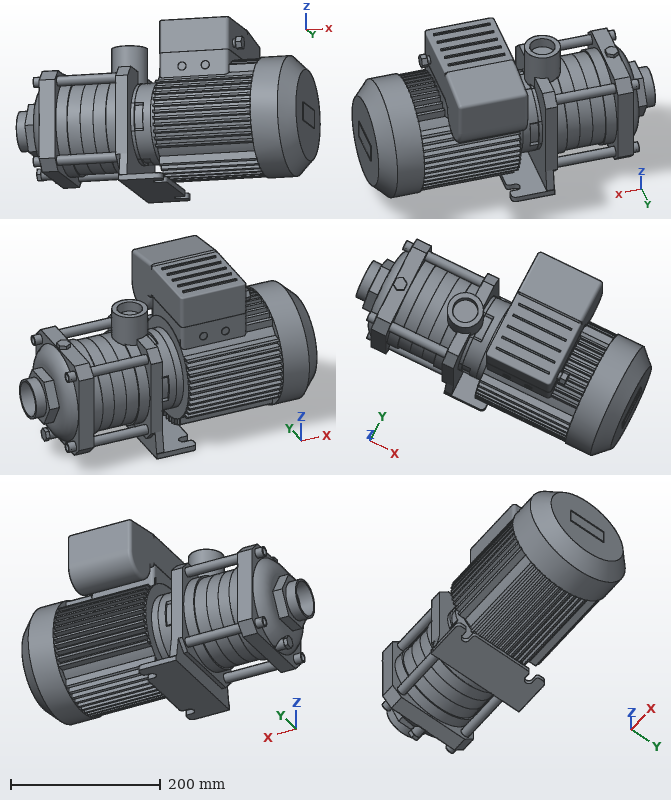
import cadquery as cq
import math


NUT_START = 14.7
COVER_FACE = 29.0
FRONT_PLATE_START = 43.5
FRONT_PLATE_END = 65.5
FIRST_SEAM = 80.5
STAGE_LENGTH = 18.0
STAGE_COUNT = 3
LAST_SEAM = FIRST_SEAM + STAGE_COUNT * STAGE_LENGTH
REAR_PLATE_START = 149.5
REAR_PLATE_END = 166.0
WINDOW_START = 171.0
WINDOW_END = 183.0
MOTOR_FLANGE_START = 193.5
MOTOR_START = 203.5
FAN_COVER_START = 339.0
FAN_COVER_CONE = 377.0
FAN_COVER_END = 397.2
TOTAL_LENGTH = 398.5

TOTAL_WIDTH = 194.5

PORT_DIAMETER = 54.0
PORT_BORE = 48.2
PORT_DEPTH = 20.0
NUT_FLATS = 65.0
COVER_FACE_RADIUS = 85.0 / 2
COVER_RADIUS = 67.0
COVER_BULGE = 28.0
END_RING_DIAMETER = 130.0
STAGE_DIAMETER = 125.0
SEAM_STEP = 0.08
PLATE_SIZE = 138.0
PLATE_CHAMFER = 15.0
NECK_DIAMETER = 110.0
COLLAR_RELIEF = 0.5
WINDOW_WIDTH = 38.2
WINDOW_FLOOR_WIDTH = 32.0
WINDOW_FLOOR_RADIUS = 51.8

NOZZLE_X = 149.8
NOZZLE_DIAMETER = 48.2
NOZZLE_BORE = 34.0
NOZZLE_TOP = 104.0
NOZZLE_DEPTH = 14.0

FOOT_BOTTOM = -91.0
FOOT_THICKNESS = 7.5
FOOT_HALF_WIDTH = 150.0 / 2
FOOT_SHOULDER = -53.8
LEG_THICKNESS = 10.8
FOOT_END = 214.5
FOOT_CORNER_RADIUS = 6.0
SLOT_WIDTH = 12.0
SLOT_Y = 53.8
SLOT_CENTRE_X = 203.5
SLOT_MOUTH_RADIUS = 4.0

ROD_DIAMETER = 13.5
ROD_OFFSET = 54.0
ROD_START = 32.5
ROD_POSITIONS = [(y, z) for y in (-ROD_OFFSET, ROD_OFFSET) for z in (-ROD_OFFSET, ROD_OFFSET)]
SOCKET_DIAMETER = 10.0
SOCKET_DEPTH = 4.0

VENT_X = 52.5
VENT_FLATS = 16.5
VENT_HEIGHT = 5.0

DRAIN_Z = -60.5
DRAIN_DIAMETER = 15.0
DRAIN_START = 23.0
DRAIN_HEAD_END = 28.5
DRAIN_CORNERS = 18.0
DRAIN_TURN = 8

CORE_RADIUS = 71.0
FIN_RADIUS = 79.3
FIN_PITCH = 8.8
FIN_THICKNESS = 2.8
FINS_EACH_WAY = 5
FAN_COVER_DIAMETER = 162.0
FAN_COVER_END_RADIUS = 61.5
END_PAD_WIDTH = 56.0
END_PAD_HEIGHT = 24.7

BOX_START = MOTOR_START
BOX_END = 300.5
BOX_LENGTH = BOX_END - BOX_START
BOX_SPLIT = 86.0
BASE_INSET = 0.5
BASE_FRONT = -48.5
LID_FRONT = -48.2
BOX_BACK = 47.5
LID_TOP = 131.0
BOX_CORNER_RADIUS = 4.8
LID_EDGE_RADIUS = 2.0
RIB_COUNT = 5
RIB_PITCH = 16.7
RIB_WIDTH = 2.5
RIB_HEIGHT = 2.0
RIB_START = 212.7
RIB_END = 291.5
ENTRY_DIAMETER = 11.0
ENTRY_HEIGHT = 0.8
ENTRY_Z = 66.0
ENTRY_XS = (236.0, 268.0)

CAPACITOR_BACK = TOTAL_WIDTH - FAN_COVER_DIAMETER / 2
CAPACITOR_RADIUS = 29.0
CAPACITOR_Y = CAPACITOR_BACK - CAPACITOR_RADIUS
CAPACITOR_Z = 76.0
CAPACITOR_PEAK = LID_TOP + RIB_HEIGHT
CAPACITOR_SLOPE = 9.2
CAPACITOR_START = 46.2
CAPACITOR_PEAK_Y = 48.5
WEB_LOW_Z = 77.5
WEB_HIGH_Z = 82.0

SCREW_Y = -23.0
SCREW_Z = 99.2
SCREW_DIAMETER = 11.0
SCREW_HEAD_FLATS = 15.5
SCREW_HEAD_START = 304.8
SCREW_HEAD_END = 313.0


def corners_from_flats(flats):
    """Corner-to-corner size of a hexagon given its size across flats."""
    return flats / math.cos(math.pi / 6)


def across_shaft(x, y=0.0, z=0.0):
    """Workplane facing +X at a station; its local axes are Y and Z."""
    return cq.Workplane("YZ", origin=(x, y, z))


def block(x_range, y_range, z_range):
    """Box given by its limits along each axis."""
    limits = (x_range, y_range, z_range)
    sizes = [high - low for low, high in limits]
    corner = tuple(low for low, high in limits)
    return cq.Workplane("XY").box(*sizes, centered=False).translate(corner)


def bar(start, end, diameter, y=0.0, z=0.0):
    """Round bar parallel to the shaft axis."""
    return across_shaft(start, y, z).circle(diameter / 2).extrude(end - start)




def make_tie_rod(y, z):
    """Tie rod from ahead of the front plate to the rear plate, with a socket in its end."""
    rod = bar(ROD_START, REAR_PLATE_START, ROD_DIAMETER, y, z)
    return rod.cut(bar(ROD_START, ROD_START + SOCKET_DEPTH, SOCKET_DIAMETER, y, z))


def make_vent_plug():
    """Hexagon plug standing on the front plate, with corners toward +Y and -Y."""
    seat = cq.Workplane("XY", origin=(VENT_X, 0, PLATE_SIZE / 2))
    hexagon = seat.transformed(rotate=(0, 0, 90)).polygon(6, corners_from_flats(VENT_FLATS))
    return hexagon.extrude(VENT_HEIGHT)


def make_drain_plug():
    """Hexagon-headed plug whose shank runs through the cover to the front plate."""
    head = across_shaft(DRAIN_START, 0, DRAIN_Z).transformed(rotate=(0, 0, DRAIN_TURN))
    head = head.polygon(6, DRAIN_CORNERS).extrude(DRAIN_HEAD_END - DRAIN_START)
    return head.union(bar(DRAIN_HEAD_END, FRONT_PLATE_START, DRAIN_DIAMETER, 0, DRAIN_Z))




def make_cover():
    """Domed front cover, revolved about the shaft axis."""
    sweep = math.asin((COVER_RADIUS - COVER_FACE_RADIUS) / COVER_BULGE) / 2
    arc_middle = (
        COVER_FACE + COVER_BULGE * (1 - math.cos(sweep)),
        COVER_FACE_RADIUS + COVER_BULGE * math.sin(sweep),
    )
    outline = cq.Workplane("XY").moveTo(COVER_FACE, 0).lineTo(COVER_FACE, COVER_FACE_RADIUS)
    outline = outline.threePointArc(arc_middle, (FRONT_PLATE_START, COVER_RADIUS))
    outline = outline.lineTo(FRONT_PLATE_START, 0).close()
    return outline.revolve(360, (0, 0, 0), (1, 0, 0))


def make_suction_port():
    """Bored suction stub and the hexagon behind it."""
    nut = across_shaft(NUT_START).polygon(6, corners_from_flats(NUT_FLATS))
    nut = nut.extrude(COVER_FACE - NUT_START)
    stub = bar(0, NUT_START, PORT_DIAMETER)
    return nut.union(stub).cut(bar(0, PORT_DEPTH, PORT_BORE))


def make_stages():
    """Stage shells between two end rings; every second shell is very slightly smaller."""
    stages = bar(FRONT_PLATE_END, FIRST_SEAM, END_RING_DIAMETER)
    for index in range(STAGE_COUNT):
        start = FIRST_SEAM + index * STAGE_LENGTH
        diameter = STAGE_DIAMETER - SEAM_STEP * (index % 2)
        stages = stages.union(bar(start, start + STAGE_LENGTH, diameter))
    return stages.union(bar(LAST_SEAM, REAR_PLATE_START, END_RING_DIAMETER))


def make_plate(start, end):
    """Square clamping plate with cut corners."""
    plate = across_shaft(start).rect(PLATE_SIZE, PLATE_SIZE).extrude(end - start)
    return plate.edges("|X").chamfer(PLATE_CHAMFER)


def make_neck():
    """Neck behind the rear plate: four tabs on a collar, each followed by a tapered window."""
    collar_radius = NECK_DIAMETER / 2 - COLLAR_RELIEF
    collar = bar(REAR_PLATE_END, WINDOW_START, 2 * collar_radius)
    neck = bar(WINDOW_START, MOTOR_FLANGE_START, NECK_DIAMETER)
    tab_stock = bar(REAR_PLATE_END, WINDOW_START, NECK_DIAMETER)
    floor = bar(WINDOW_START, WINDOW_END, 2 * WINDOW_FLOOR_RADIUS)
    mouth_radius = NECK_DIAMETER / 2
    floor_edge_z = math.sqrt(WINDOW_FLOOR_RADIUS ** 2 - (WINDOW_FLOOR_WIDTH / 2) ** 2)
    mouth_edge_z = math.sqrt(mouth_radius ** 2 - (WINDOW_WIDTH / 2) ** 2)
    for quarter in range(4):
        angle = 90 * quarter
        tab = block(
            (REAR_PLATE_END, WINDOW_START), (-WINDOW_WIDTH / 2, WINDOW_WIDTH / 2), (0, mouth_radius)
        )
        collar = collar.union(tab_stock.intersect(tab.rotate((0, 0, 0), (1, 0, 0), angle)))
        window = across_shaft(WINDOW_START).polyline([
            (-WINDOW_FLOOR_WIDTH / 2, floor_edge_z),
            (WINDOW_FLOOR_WIDTH / 2, floor_edge_z),
            (WINDOW_WIDTH / 2, mouth_edge_z),
            (WINDOW_WIDTH / 2, mouth_radius),
            (-WINDOW_WIDTH / 2, mouth_radius),
            (-WINDOW_WIDTH / 2, mouth_edge_z),
        ]).close().extrude(WINDOW_END - WINDOW_START)
        window = window.cut(floor).rotate((0, 0, 0), (1, 0, 0), angle)
        neck = neck.cut(window)
    return neck.union(collar)


def make_foot():
    """Flared leg below the rear plate, on a foot with a slot open to the rear on each side."""
    half_plate = PLATE_SIZE / 2
    leg_outline = [
        (-half_plate, FOOT_SHOULDER),
        (half_plate, FOOT_SHOULDER),
        (FOOT_HALF_WIDTH, FOOT_BOTTOM),
        (-FOOT_HALF_WIDTH, FOOT_BOTTOM),
    ]
    leg_start = REAR_PLATE_END - LEG_THICKNESS
    leg = across_shaft(leg_start).polyline(leg_outline).close().extrude(LEG_THICKNESS)
    foot = block(
        (leg_start, FOOT_END),
        (-FOOT_HALF_WIDTH, FOOT_HALF_WIDTH),
        (FOOT_BOTTOM, FOOT_BOTTOM + FOOT_THICKNESS),
    )
    foot = foot.edges("|Z and >X").fillet(FOOT_CORNER_RADIUS)
    for y in (-SLOT_Y, SLOT_Y):
        round_end = cq.Workplane("XY", origin=(SLOT_CENTRE_X, y, FOOT_BOTTOM))
        foot = foot.cut(round_end.circle(SLOT_WIDTH / 2).extrude(FOOT_THICKNESS))
        foot = foot.cut(block(
            (SLOT_CENTRE_X, FOOT_END),
            (y - SLOT_WIDTH / 2, y + SLOT_WIDTH / 2),
            (FOOT_BOTTOM, FOOT_BOTTOM + FOOT_THICKNESS),
        ))
    foot = foot.faces(">X").edges("|Z").fillet(SLOT_MOUTH_RADIUS)
    return leg.union(foot)


def make_nozzle():
    """Upright discharge nozzle, solid down to the shaft axis."""
    nozzle = cq.Workplane("XY", origin=(NOZZLE_X, 0, 0)).circle(NOZZLE_DIAMETER / 2)
    return nozzle.extrude(NOZZLE_TOP)


def make_pump_body(drain_plug):
    """Whole pump casing, with holes for the tie rods and the drain plug."""
    body = make_cover().union(make_suction_port())
    body = body.union(make_plate(FRONT_PLATE_START, FRONT_PLATE_END))
    body = body.union(make_stages())
    body = body.union(make_plate(REAR_PLATE_START, REAR_PLATE_END))
    body = body.union(make_neck()).union(make_foot()).union(make_nozzle())
    bore = cq.Workplane("XY", origin=(NOZZLE_X, 0, NOZZLE_TOP)).circle(NOZZLE_BORE / 2)
    body = body.cut(bore.extrude(-NOZZLE_DEPTH))
    for y, z in ROD_POSITIONS:
        body = body.cut(bar(FRONT_PLATE_START, FRONT_PLATE_END, ROD_DIAMETER, y, z))
    return body.cut(drain_plug)




def box_base_block(inset):
    """Block with rounded upright corners, up to the lid and inset from the ends of the lid."""
    length = (BOX_START + inset, BOX_END - inset)
    base = block(length, (BASE_FRONT, BOX_BACK), (0, BOX_SPLIT))
    return base.edges("|Z").fillet(BOX_CORNER_RADIUS)


def make_fins():
    """Parallel fins on all four sides, trimmed to a common radius."""
    half = FIN_THICKNESS / 2
    length = (MOTOR_START, FAN_COVER_START)
    reach = (-FIN_RADIUS, FIN_RADIUS)
    fins = bar(MOTOR_START, FAN_COVER_START, 2 * CORE_RADIUS)
    for index in range(-FINS_EACH_WAY, FINS_EACH_WAY + 1):
        middle = index * FIN_PITCH
        thickness = (middle - half, middle + half)
        fins = fins.union(block(length, reach, thickness))
        fins = fins.union(block(length, thickness, reach))
    return fins.intersect(bar(MOTOR_START, FAN_COVER_START, 2 * FIN_RADIUS))


def make_fan_cover():
    """Cylindrical rear cover with a conical end and a flat pad."""
    outline = cq.Workplane("XY").polyline([
        (FAN_COVER_START, 0),
        (FAN_COVER_START, FAN_COVER_DIAMETER / 2),
        (FAN_COVER_CONE, FAN_COVER_DIAMETER / 2),
        (FAN_COVER_END, FAN_COVER_END_RADIUS),
        (FAN_COVER_END, 0),
    ]).close()
    cover = outline.revolve(360, (0, 0, 0), (1, 0, 0))
    pad = across_shaft(FAN_COVER_END).rect(END_PAD_WIDTH, END_PAD_HEIGHT)
    return cover.union(pad.extrude(TOTAL_LENGTH - FAN_COVER_END))


def make_motor():
    """Flange, finned housing cleared under the terminal box, and fan cover."""
    seat = box_base_block(0)
    seat = seat.cut(bar(MOTOR_START, FAN_COVER_START, 2 * CORE_RADIUS))
    motor = make_fins().cut(seat)
    motor = motor.union(bar(MOTOR_FLANGE_START, MOTOR_START, NECK_DIAMETER))
    return motor.union(make_fan_cover())




def make_box_base():
    """Lower part of the box, saddled on the motor core, with two round cable entry covers."""
    base = box_base_block(BASE_INSET)
    base = base.cut(bar(MOTOR_START, FAN_COVER_START, 2 * CORE_RADIUS))
    for x in ENTRY_XS:
        entry = cq.Workplane("XZ", origin=(x, BASE_FRONT, ENTRY_Z)).circle(ENTRY_DIAMETER / 2)
        base = base.union(entry.extrude(ENTRY_HEIGHT))
    return base


def make_lid():
    """Upper part of the box, with raised ribs on its top."""
    lid = block((BOX_START, BOX_END), (LID_FRONT, BOX_BACK), (BOX_SPLIT, LID_TOP))
    lid = lid.edges("|Z and <Y").fillet(BOX_CORNER_RADIUS)
    lid = lid.faces(">Z").edges("not >Y").fillet(LID_EDGE_RADIUS)
    for index in range(RIB_COUNT):
        middle = (index - (RIB_COUNT - 1) / 2) * RIB_PITCH
        lid = lid.union(block(
            (RIB_START, RIB_END),
            (middle - RIB_WIDTH / 2, middle + RIB_WIDTH / 2),
            (LID_TOP, LID_TOP + RIB_HEIGHT),
        ))
    return lid


def make_capacitor_housing():
    """Round-bottomed housing with a sloping top and rounded ends."""
    drop = (CAPACITOR_BACK - CAPACITOR_PEAK_Y) * math.tan(math.radians(CAPACITOR_SLOPE))
    inner_side = CAPACITOR_Y - CAPACITOR_RADIUS
    outline = across_shaft(BOX_START).moveTo(CAPACITOR_START, LID_TOP)
    outline = outline.lineTo(CAPACITOR_PEAK_Y, CAPACITOR_PEAK)
    outline = outline.lineTo(CAPACITOR_BACK, CAPACITOR_PEAK - drop)
    outline = outline.lineTo(CAPACITOR_BACK, CAPACITOR_Z)
    outline = outline.threePointArc(
        (CAPACITOR_Y, CAPACITOR_Z - CAPACITOR_RADIUS), (inner_side, CAPACITOR_Z)
    )
    outline = outline.lineTo(inner_side, WEB_LOW_Z).lineTo(CAPACITOR_START, WEB_HIGH_Z).close()
    housing = outline.extrude(BOX_LENGTH)
    housing = housing.edges("|X").edges(">Y").edges(">Z").fillet(BOX_CORNER_RADIUS)
    return housing.faces("<X or >X").edges("not <Y").fillet(BOX_CORNER_RADIUS)


def make_clamp_screw():
    """Hexagon-headed screw on the rear end of the box."""
    head = across_shaft(SCREW_HEAD_START, SCREW_Y, SCREW_Z)
    head = head.polygon(6, corners_from_flats(SCREW_HEAD_FLATS))
    head = head.extrude(SCREW_HEAD_END - SCREW_HEAD_START)
    return head.union(bar(BOX_END, SCREW_HEAD_START, SCREW_DIAMETER, SCREW_Y, SCREW_Z))


def make_terminal_box():
    """Base, lid, capacitor housing and clamp screw as one body."""
    box = make_box_base().union(make_lid())
    return box.union(make_capacitor_housing()).union(make_clamp_screw())



tie_rods = [make_tie_rod(y, z) for y, z in ROD_POSITIONS]
vent_plug = make_vent_plug()
drain_plug = make_drain_plug()
pump_body = make_pump_body(drain_plug)
motor = make_motor()
terminal_box = make_terminal_box()

result = cq.Compound.makeCompound([
    pump_body.val(),
    motor.val(),
    terminal_box.val(),
    vent_plug.val(),
    drain_plug.val(),
    *[rod.val() for rod in tie_rods],
])